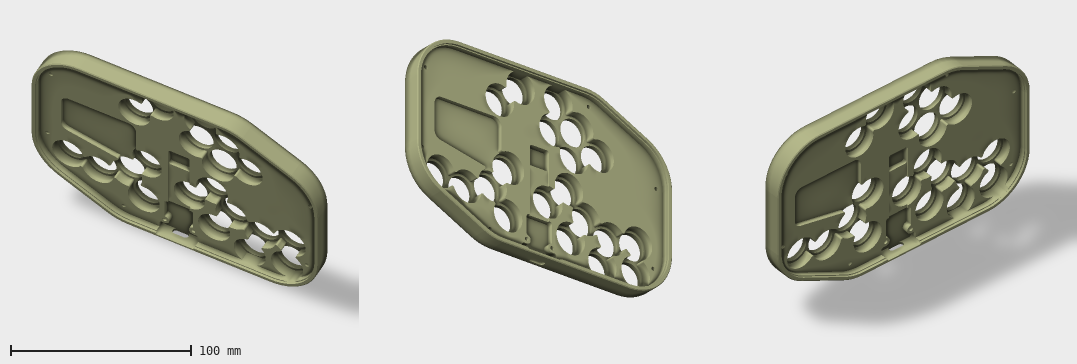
import cadquery as cq
import math


LENGTH = 180.0
HEIGHT = 115.0
THICKNESS = 14.0
CORNER_RADIUS = 30.0
SLOPE_TOP_X = 36.2
SLOPE_SIDE_Z = 31.5
BACK_CHAMFER = 2.5
BACK_BLEND_RADIUS = 3.7
RIM_CHAMFER = 0.5

FLOOR_Y = 5.0
WALL = 3.0
LIP_WALL = 2.4
LIP_DEPTH = 1.5

FACEPLATE = 3.0
BUTTON_HOLE_DIAMETER = 17.0
WELL_DIAMETER = 20.0
WELL_BLEND_RADIUS = 1.0
MIRRORED_BUTTONS = [
    (13.3, 45.6),
    (20.8, -6.7),
    (33.0, -21.3),
    (50.9, -27.8),
    (69.5, -24.4),
    (22.1, -36.8),
]
OFFSET_BUTTON_X = 28.0
OFFSET_BUTTON_Z = 33.4
CORNER_BUTTON = (67.9, -43.4)
RIGHT_BUTTONS = [
    (10.0, 26.9),
    (42.5, 21.2),
    (24.5, 14.6),
    (6.25, -19.0),
    CORNER_BUTTON,
    (44.4, -45.7),
]

PILOT_DIAMETER = 2.5
PILOT_DEPTH = 6.0
PILOTS = [(34.65, 49.3), (82.4, 13.5), (80.3, -36.9)]

POCKET_LEFT = -74.0
POCKET_RIGHT = -26.9
POCKET_TOP = 22.0
POCKET_BOTTOM_LEFT = -4.1
POCKET_BOTTOM_RIGHT = -13.5
POCKET_CORNER_RADIUS = 5.0
POCKET_DEPTH = 3.0

CHANNEL_WIDTH = 13.6
CHANNEL_TOP = 12.7
CHANNEL_DEPTH = 1.0
CHANNEL_CORNER_RADIUS = 1.5
DEEP_WELL_BOTTOM = 0.4
DEEP_WELL_DEPTH = 4.0

BOARD_WIDTH = 18.0
BOARD_TOP = -31.1
BOARD_DEPTH = 4.0
BOARD_CORNER_RADIUS = 1.5
BOSS_RADIUS = 2.8
BOSS_BLEND_RADIUS = 1.0
BOSS_Z = -47.1
EDGE_RECESS_WIDTH = 24.4
EDGE_RECESS_BOTTOM = -55.9
EDGE_RECESS_CORNER_RADIUS = 1.5
PORT_WIDTH = 10.0
PORT_HEIGHT = 3.75


def prism(sketch_on_plane, depth):
    """Extrude a profile drawn on an XZ plane toward +Y."""
    return sketch_on_plane.extrude(-depth)


def plane_at(y):
    return cq.Workplane("XZ", origin=(0, y, 0))


def cylinders(points, diameter, y, depth):
    return prism(plane_at(y).pushPoints(points).circle(diameter / 2), depth)


def block(left, right, bottom, top, y, depth):
    width = right - left
    height = top - bottom
    center = ((left + right) / 2, (bottom + top) / 2)
    return prism(plane_at(y).center(*center).rect(width, height), depth)


def outline_prism(inset, y, depth):
    """Body outline moved inward by `inset`: a rectangle with two opposite corners sloped off."""
    half_l = LENGTH / 2
    half_h = HEIGHT / 2
    corners = [
        (-half_l, half_h),
        (SLOPE_TOP_X, half_h),
        (half_l, SLOPE_SIDE_Z),
        (half_l, -half_h),
        (-SLOPE_TOP_X, -half_h),
        (-half_l, -SLOPE_SIDE_Z),
    ]
    full = prism(plane_at(y).polyline(corners).close(), depth).edges("|Y").fillet(CORNER_RADIUS)
    if inset == 0:
        return full
    rim = full.faces("<Y").wires().val()
    return prism(plane_at(y).add(rim.offset2D(-inset)[0]).toPending(), depth)


def make_body():
    body = outline_prism(0, 0, THICKNESS)
    body = body.faces(">Y").chamfer(BACK_CHAMFER)
    shoulder_y = THICKNESS - BACK_CHAMFER
    margin = 0.01
    shoulder = cq.selectors.BoxSelector(
        (-LENGTH, shoulder_y - margin, -HEIGHT), (LENGTH, shoulder_y + margin, HEIGHT)
    )
    body = body.edges(shoulder).fillet(BACK_BLEND_RADIUS)
    return body.faces("<Y").chamfer(RIM_CHAMFER)


def button_centers():
    centers = list(RIGHT_BUTTONS)
    for x, z in MIRRORED_BUTTONS:
        centers += [(x, z), (-x, z)]
    centers += [(OFFSET_BUTTON_X, OFFSET_BUTTON_Z), (-OFFSET_BUTTON_X, OFFSET_BUTTON_Z)]
    return centers


def well_neck(first, second, centers, y, depth):
    """Opening between two overlapping wells, with the cusps between them rounded off.

    A cusp that another well also reaches has no room for a round and is opened fully.
    """
    gap = math.dist(first, second)
    reach = WELL_DIAMETER / 2 + WELL_BLEND_RADIUS
    rise = math.sqrt(reach**2 - (gap / 2) ** 2)
    mid_x = (first[0] + second[0]) / 2
    mid_z = (first[1] + second[1]) / 2
    across_x = -(second[1] - first[1]) / gap
    across_z = (second[0] - first[0]) / gap
    others = [c for c in centers if c not in (first, second)]
    tips = []
    rounds = []
    for side in (1, -1):
        height = side * rise
        tip = (mid_x + across_x * height, mid_z + across_z * height)
        if all(math.dist(tip, c) > reach + WELL_BLEND_RADIUS for c in others):
            rounds.append(tip)
        else:
            height += side * WELL_BLEND_RADIUS
            tip = (mid_x + across_x * height, mid_z + across_z * height)
        tips.append(tip)
    neck = prism(plane_at(y).polyline([first, tips[0], second, tips[1]]).close(), depth)
    if rounds:
        neck = neck.cut(cylinders(rounds, 2 * WELL_BLEND_RADIUS, y, depth))
    return neck


def make_wells():
    centers = button_centers()
    depth = THICKNESS - FACEPLATE - FLOOR_Y
    wells = cylinders(centers[:1], WELL_DIAMETER, FLOOR_Y, depth)
    for center in centers[1:]:
        wells = wells.union(cylinders([center], WELL_DIAMETER, FLOOR_Y, depth))
    for i, first in enumerate(centers):
        for second in centers[i + 1 :]:
            if math.dist(first, second) < WELL_DIAMETER:
                wells = wells.union(well_neck(first, second, centers, FLOOR_Y, depth))
    return wells.intersect(outline_prism(WALL, FLOOR_Y, depth))


def make_corner_relief():
    """Well of the corner button carried up through the wall to the lip."""
    depth = THICKNESS - FACEPLATE - LIP_DEPTH
    relief = cylinders([CORNER_BUTTON], WELL_DIAMETER, LIP_DEPTH, depth)
    return relief.intersect(outline_prism(LIP_WALL, LIP_DEPTH, depth))


def make_side_pocket():
    corners = [
        (POCKET_LEFT, POCKET_TOP),
        (POCKET_RIGHT, POCKET_TOP),
        (POCKET_RIGHT, POCKET_BOTTOM_RIGHT),
        (POCKET_LEFT, POCKET_BOTTOM_LEFT),
    ]
    pocket = prism(plane_at(FLOOR_Y).polyline(corners).close(), POCKET_DEPTH)
    return pocket.edges("|Y").fillet(POCKET_CORNER_RADIUS)


def round_pocket_cusps(body):
    """Round the sharp upright edges where the side pocket runs into the button wells."""
    pocket_middle = (POCKET_LEFT + POCKET_RIGHT) / 2
    pocket_walls = cq.selectors.BoxSelector(
        (pocket_middle, FLOOR_Y, POCKET_BOTTOM_RIGHT),
        (POCKET_RIGHT + WELL_BLEND_RADIUS, FLOOR_Y + POCKET_DEPTH, POCKET_TOP - 2 * POCKET_CORNER_RADIUS),
    )
    return body.edges("|Y").edges(pocket_walls).fillet(WELL_BLEND_RADIUS)


def make_cable_channel():
    half = CHANNEL_WIDTH / 2
    channel = block(-half, half, BOARD_TOP, CHANNEL_TOP, FLOOR_Y, CHANNEL_DEPTH)
    channel = channel.edges("|Y and >Z").fillet(CHANNEL_CORNER_RADIUS)
    well = block(-half, half, DEEP_WELL_BOTTOM, CHANNEL_TOP, FLOOR_Y, DEEP_WELL_DEPTH)
    return channel.union(well.edges("|Y").fillet(CHANNEL_CORNER_RADIUS))


def make_board_recess():
    half = BOARD_WIDTH / 2
    bosses = [(-half, BOSS_Z), (half, BOSS_Z)]
    shelf_z = BOSS_Z - BOSS_RADIUS
    recess = block(-half, half, shelf_z, BOARD_TOP, FLOOR_Y, BOARD_DEPTH)
    recess = recess.edges("|Y and >Z").fillet(BOARD_CORNER_RADIUS)
    recess = recess.cut(cylinders(bosses, 2 * BOSS_RADIUS, FLOOR_Y, BOARD_DEPTH))
    boss_top = BOSS_Z + BOSS_RADIUS
    margin = 0.1
    boss_corners = cq.selectors.BoxSelector(
        (-LENGTH, 0, boss_top - margin), (LENGTH, THICKNESS, boss_top + margin)
    )
    recess = recess.edges(boss_corners).edges("|Y").fillet(BOSS_BLEND_RADIUS)
    half_edge = EDGE_RECESS_WIDTH / 2
    edge_recess = block(-half_edge, half_edge, EDGE_RECESS_BOTTOM, shelf_z, 0, FLOOR_Y + BOARD_DEPTH)
    edge_recess = edge_recess.edges("|Y").fillet(EDGE_RECESS_CORNER_RADIUS)
    return recess.union(edge_recess)


def make_port():
    """Rounded connector slot through the bottom wall, level with the recess floor."""
    port_y = FLOOR_Y + BOARD_DEPTH - PORT_HEIGHT / 2
    inner_wall = cq.Workplane("XY", origin=(0, port_y, EDGE_RECESS_BOTTOM))
    return inner_wall.slot2D(PORT_WIDTH, PORT_HEIGHT).extrude(-HEIGHT / 2 - EDGE_RECESS_BOTTOM)


def pilot_points():
    points = [(-BOARD_WIDTH / 2, BOSS_Z), (BOARD_WIDTH / 2, BOSS_Z)]
    for x, z in PILOTS:
        points += [(x, z), (-x, -z)]
    return points


result = make_body()
result = result.cut(outline_prism(WALL, 0, FLOOR_Y))
result = result.cut(outline_prism(LIP_WALL, 0, LIP_DEPTH))
result = result.cut(make_wells())
result = result.cut(make_corner_relief())
result = result.cut(cylinders(button_centers(), BUTTON_HOLE_DIAMETER, FLOOR_Y, THICKNESS))
result = result.cut(make_side_pocket())
result = round_pocket_cusps(result)
result = result.cut(make_cable_channel())
result = result.cut(make_board_recess())
result = result.cut(make_port())
result = result.cut(cylinders(pilot_points(), PILOT_DIAMETER, FLOOR_Y, PILOT_DEPTH))